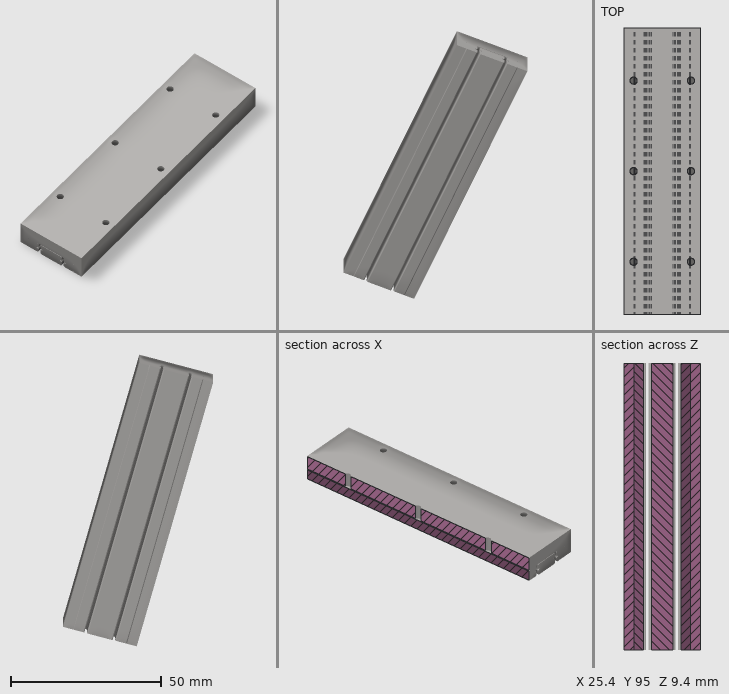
import cadquery as cq

width = 25.4
length = 95.0
height = 9.4

carriage_lift = 0.2
channel_half_width = 9.3
channel_depth = 4.05
channel_top = carriage_lift + channel_depth
relief_half_width = 5.1
relief_depth = 0.2
relief_top = channel_top + relief_depth

hole_diameter = 2.38
hole_spacing_x = 19.0
hole_spacing_y = 30.0
hole_columns = 2
hole_rows = 3

guide_inner_x = 5.3
rail_half_width = 4.4
edge_chamfer = 0.3

groove_z = 2.25
groove_mouth = 0.9
groove_slot = 0.4
groove_taper_depth = 0.4
groove_depth = 0.8

sides = (-1, 1)


def bar(x_start, x_end, z_min, z_max):
    """Full-length rectangular bar between two X positions and two heights."""
    center = ((x_start + x_end) / 2, 0, (z_min + z_max) / 2)
    return cq.Workplane("XY").box(abs(x_end - x_start), length, z_max - z_min).translate(center)


def groove(wall_x, inward):
    """Cutter for a raceway in the wall at wall_x; inward is the X direction into the material."""
    taper_x = wall_x + inward * groove_taper_depth
    bottom_x = wall_x + inward * groove_depth
    mouth_half = groove_mouth / 2
    slot_half = groove_slot / 2
    return (
        cq.Workplane("XZ", origin=(0, 0, groove_z))
        .moveTo(wall_x, -mouth_half)
        .lineTo(taper_x, -slot_half)
        .lineTo(bottom_x, -slot_half)
        .lineTo(bottom_x, slot_half)
        .lineTo(taper_x, slot_half)
        .lineTo(wall_x, mouth_half)
        .close()
        .extrude(length / 2, both=True)
    )


def make_carriage():
    """Plate with the guide channel, the rail relief and the mounting holes."""
    body = bar(-width / 2, width / 2, carriage_lift, height)
    channel = bar(-channel_half_width, channel_half_width, carriage_lift, channel_top)
    relief = bar(-relief_half_width, relief_half_width, channel_top, relief_top)
    holes = (
        cq.Workplane("XY", origin=(0, 0, channel_top))
        .rarray(hole_spacing_x, hole_spacing_y, hole_columns, hole_rows)
        .circle(hole_diameter / 2)
        .extrude(height - channel_top)
    )
    return body.cut(channel).cut(relief).cut(holes)


def make_guide(side):
    """Strip fixed in one corner of the channel, with a raceway facing the rail."""
    inner_x = side * guide_inner_x
    outer_x = side * channel_half_width
    strip = bar(inner_x, outer_x, carriage_lift, channel_top)
    strip = strip.edges("|Y").chamfer(edge_chamfer)
    return strip.cut(groove(inner_x, side))


def make_rail():
    """Central rail with a raceway in each side."""
    rail_bar = bar(-rail_half_width, rail_half_width, 0, channel_top)
    rail_bar = rail_bar.edges("|Y").chamfer(edge_chamfer)
    for side in sides:
        rail_bar = rail_bar.cut(groove(side * rail_half_width, -side))
    return rail_bar


carriage = make_carriage()
guides = [make_guide(side) for side in sides]
rail = make_rail()

result = cq.Compound.makeCompound([carriage.val(), *[guide.val() for guide in guides], rail.val()])